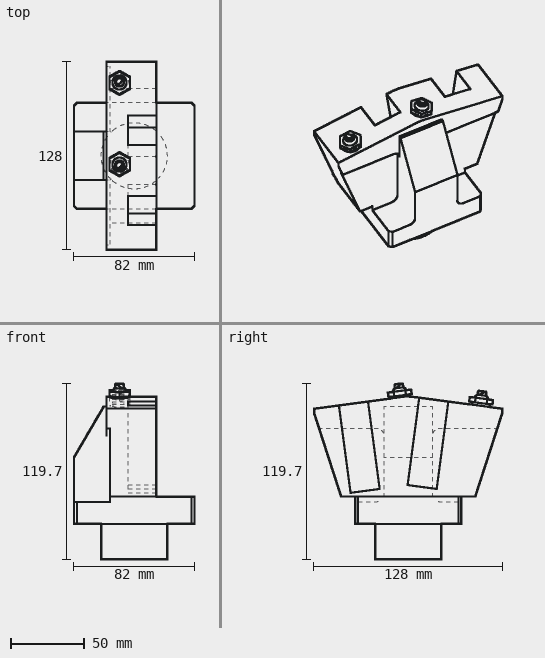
import cadquery as cq
import math


PLATE_LENGTH = 82.0
PLATE_WIDTH = 72.3
PLATE_HEIGHT = 18.7
PLATE_CHAMFER = 2.0
SPIGOT_DIAMETER = 45.0
SPIGOT_LENGTH = 24.0

BLOCK_BACK_X = 15.1
BLOCK_THICKNESS = 34.0
BLOCK_WIDTH = 128.0
BLOCK_FOOT_WIDTH = 91.4
RIDGE_Z = 86.7
RIDGE_FLAT = 5.0
EAVE_Z = 78.5
EAVE_HEIGHT = 3.2

RIB_WIDTH = 33.0
RIB_TOP_Z = 80.0
RIB_TOP_FRONT_X = -20.7
NOSE_BASE_Z = 45.3
RECESS_DEPTH = 2.4
RECESS_BOTTOM_Z = 15.1
RECESS_TOP_Z = 64.9
RECESS_RADIUS = 4.7

SLOT_WIDTH = 20.0
SLOT_REACH = 19.3
SLOT_DEPTH = 60.0
SLOT_CENTERS_Y = (17.4, -37.2)

SCREW_X = -10.0
SCREW_PLACES = ((49.2, 0.0), (-5.4, 0.8))
COLLAR_DIAMETER = 12.7
COLLAR_HEIGHT = 1.8
HEX_ACROSS_FLATS = 14.0
HEX_HEIGHT = 3.2
DOME_DIAMETER = 9.6
DOME_HEIGHT = 2.2
DOME_RADIUS = 5.2
TIP_DIAMETER = 6.0
TIP_HEIGHT = 2.8
TIP_CHAMFER = 0.6
TIP_FLAT_OFFSET = 1.0
TIP_FLAT_DEPTH = 2.7
TIP_FLAT_TURN = 45

PLATE_FRONT_X = -PLATE_LENGTH / 2
BLOCK_FRONT_X = BLOCK_BACK_X - BLOCK_THICKNESS
RECESS_FLOOR_X = BLOCK_FRONT_X + RECESS_DEPTH
ROOF_RUN = (BLOCK_WIDTH - RIDGE_FLAT) / 2
ROOF_ANGLE = math.degrees(math.atan2(RIDGE_Z - EAVE_Z, ROOF_RUN))


def roof_plane(x, y, depth=0):
    """Plane tangent to the roof at (x, y), sunk by depth, with its normal pointing outwards."""
    side = math.copysign(1, y)
    slope = math.radians(ROOF_ANGLE)
    z = RIDGE_Z - (abs(y) - RIDGE_FLAT / 2) * math.tan(slope)
    normal = cq.Vector(0, side * math.sin(slope), math.cos(slope))
    origin = cq.Vector(x, y, z) - normal * depth
    return cq.Plane(origin=origin, xDir=(1, 0, 0), normal=normal)


def make_base():
    plate = (
        cq.Workplane("XY")
        .rect(PLATE_LENGTH, PLATE_WIDTH)
        .extrude(PLATE_HEIGHT)
        .edges("|Z")
        .chamfer(PLATE_CHAMFER)
    )
    spigot = cq.Workplane("XY").circle(SPIGOT_DIAMETER / 2).extrude(-SPIGOT_LENGTH)
    return plate.union(spigot)


def make_block():
    half_width = BLOCK_WIDTH / 2
    right_half = [
        (BLOCK_FOOT_WIDTH / 2, PLATE_HEIGHT),
        (half_width, EAVE_Z - EAVE_HEIGHT),
        (half_width, EAVE_Z),
        (RIDGE_FLAT / 2, RIDGE_Z),
    ]
    left_half = [(-y, z) for y, z in reversed(right_half)]
    return (
        cq.Workplane("YZ", origin=(BLOCK_FRONT_X, 0, 0))
        .polyline(right_half + left_half)
        .close()
        .extrude(BLOCK_THICKNESS)
    )


def make_rib():
    outline = [
        (PLATE_FRONT_X, 0),
        (PLATE_FRONT_X, NOSE_BASE_Z),
        (RIB_TOP_FRONT_X, RIB_TOP_Z),
        (RECESS_FLOOR_X, RIB_TOP_Z),
        (RECESS_FLOOR_X, 0),
    ]
    rib = (
        cq.Workplane("XZ")
        .polyline(outline)
        .close()
        .extrude(RIB_WIDTH / 2, both=True)
    )
    foot = (
        cq.Workplane("XY")
        .box(
            RECESS_FLOOR_X - PLATE_FRONT_X,
            RIB_WIDTH + 2 * RECESS_RADIUS,
            RECESS_BOTTOM_Z + RECESS_RADIUS,
            centered=(False, True, False),
        )
        .translate((PLATE_FRONT_X, 0, 0))
    )
    return rib.union(foot)


def make_recess(side):
    """Clearance beside the rib, running out past the end of the block, with rounded inner edges."""
    width = (BLOCK_WIDTH - RIB_WIDTH) / 2
    center_y = side * (RIB_WIDTH + width) / 2
    inner_edges = "|X and <Y" if side > 0 else "|X and >Y"
    return (
        cq.Workplane("XY")
        .box(
            RECESS_FLOOR_X - PLATE_FRONT_X,
            width,
            RECESS_TOP_Z - RECESS_BOTTOM_Z,
            centered=(False, True, False),
        )
        .translate((PLATE_FRONT_X, center_y, RECESS_BOTTOM_Z))
        .edges(inner_edges)
        .fillet(RECESS_RADIUS)
    )


def make_slot(center_y):
    center_x = BLOCK_BACK_X - SLOT_REACH / 2
    return (
        cq.Workplane(roof_plane(center_x, center_y))
        .rect(SLOT_REACH, SLOT_WIDTH)
        .extrude(SLOT_DEPTH, both=True)
    )


def make_screw(y, sink):
    hex_top = COLLAR_HEIGHT + HEX_HEIGHT
    dome_top = hex_top + DOME_HEIGHT
    tip_top = dome_top + TIP_HEIGHT
    collar = cq.Workplane("XY").circle(COLLAR_DIAMETER / 2).extrude(COLLAR_HEIGHT)
    hexagon = (
        cq.Workplane("XY", origin=(0, 0, COLLAR_HEIGHT))
        .polygon(6, HEX_ACROSS_FLATS, circumscribed=True)
        .extrude(HEX_HEIGHT)
    )
    dome = (
        cq.Workplane("XZ")
        .moveTo(0, hex_top)
        .lineTo(DOME_DIAMETER / 2, hex_top)
        .radiusArc((TIP_DIAMETER / 2, dome_top), -DOME_RADIUS)
        .lineTo(0, dome_top)
        .close()
        .revolve(360, (0, 0, 0), (0, 1, 0))
    )
    tip = (
        cq.Workplane("XY", origin=(0, 0, dome_top))
        .circle(TIP_DIAMETER / 2)
        .extrude(TIP_HEIGHT)
        .faces(">Z")
        .chamfer(TIP_CHAMFER)
    )
    flat_cutter = (
        cq.Workplane("XZ")
        .polyline([
            (TIP_FLAT_OFFSET, tip_top),
            (TIP_DIAMETER / 2, tip_top),
            (TIP_DIAMETER / 2, tip_top - TIP_FLAT_DEPTH),
        ])
        .close()
        .extrude(TIP_DIAMETER / 2, both=True)
        .rotate((0, 0, 0), (0, 0, 1), -TIP_FLAT_TURN)
    )
    screw = collar.union(hexagon).union(dome).union(tip.cut(flat_cutter))
    place = cq.Location(roof_plane(SCREW_X, y, sink))
    return cq.Workplane(screw.val().moved(place))


body = make_base().union(make_block()).union(make_rib())
for side in (-1, 1):
    body = body.cut(make_recess(side))
for slot_y in SLOT_CENTERS_Y:
    body = body.cut(make_slot(slot_y))
for screw_y, screw_sink in SCREW_PLACES:
    body = body.union(make_screw(screw_y, screw_sink))
result = body